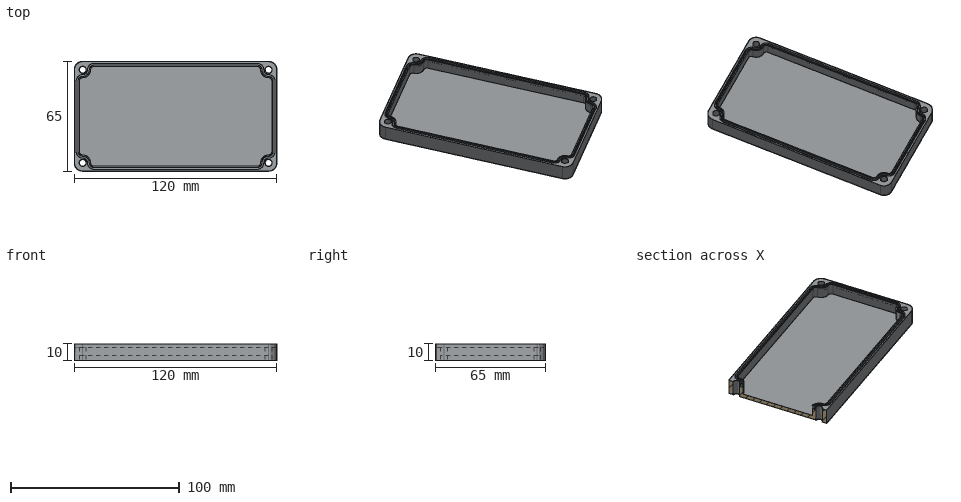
import cadquery as cq
import math

LENGTH = 120.0
WIDTH = 65.0
HEIGHT = 10.0
FLOOR_THICKNESS = 3.0

HOLE_SPACING_X = 110.0
CORNER_RADIUS = (LENGTH - HOLE_SPACING_X) / 2
HOLE_SPACING_Y = WIDTH - 2 * CORNER_RADIUS
HOLE_DIAMETER = 4.0

WALL_THICKNESS = 3.0
BULGE_RADIUS = 4.7
BLEND_RADIUS = 2.0

GROOVE_INSET = 1.14
GROOVE_WIDTH = 1.1
GROOVE_DEPTH = 2.0

CENTER_DISTANCE = BULGE_RADIUS + BLEND_RADIUS
BLEND_CENTER_INWARD = WALL_THICKNESS + BLEND_RADIUS - CORNER_RADIUS
BLEND_CENTER_ALONG = math.sqrt(CENTER_DISTANCE**2 - BLEND_CENTER_INWARD**2)
TANGENT_ANGLE = math.atan2(BLEND_CENTER_INWARD, BLEND_CENTER_ALONG)


def inner_prism(inset, bottom):
    """Solid from bottom up to the rim, with its outline set in from the outer sides."""
    prism = (
        cq.Workplane("XY")
        .workplane(offset=bottom)
        .rect(LENGTH - 2 * inset, WIDTH - 2 * inset)
        .extrude(HEIGHT - bottom)
    )
    for x_side in (-1, 1):
        for y_side in (-1, 1):
            prism = prism.cut(corner_block(x_side, y_side, inset, bottom))
    return prism


def corner_block(x_side, y_side, inset, bottom):
    """Material left standing round one screw hole: the bulge and its two blends."""
    blend = WALL_THICKNESS + BLEND_RADIUS - inset
    bulge = CENTER_DISTANCE - blend
    side = CORNER_RADIUS - inset

    def point(inward_x, inward_y):
        x = x_side * (HOLE_SPACING_X / 2 - inward_x)
        y = y_side * (HOLE_SPACING_Y / 2 - inward_y)
        return (x, y)

    def on_bulge(angle):
        return (bulge * math.cos(angle), bulge * math.sin(angle))

    mid_angle = (TANGENT_ANGLE + math.pi / 2) / 2
    blend_middle = (
        BLEND_CENTER_ALONG - blend * math.cos(mid_angle),
        BLEND_CENTER_INWARD - blend * math.sin(mid_angle),
    )
    start = (BLEND_CENTER_ALONG, -side)
    bulge_start = on_bulge(TANGENT_ANGLE)
    return (
        cq.Workplane("XY")
        .workplane(offset=bottom)
        .moveTo(*point(*start))
        .threePointArc(point(*blend_middle), point(*bulge_start))
        .threePointArc(point(*on_bulge(math.pi / 4)), point(*reversed(bulge_start)))
        .threePointArc(point(*reversed(blend_middle)), point(*reversed(start)))
        .lineTo(*point(-side, -side))
        .close()
        .extrude(HEIGHT - bottom)
    )


def screw_holes():
    return (
        cq.Workplane("XY")
        .rect(HOLE_SPACING_X, HOLE_SPACING_Y, forConstruction=True)
        .vertices()
        .circle(HOLE_DIAMETER / 2)
        .extrude(HEIGHT)
    )


body = (
    cq.Workplane("XY")
    .rect(LENGTH, WIDTH)
    .extrude(HEIGHT)
    .edges("|Z")
    .fillet(CORNER_RADIUS)
)
cavity = inner_prism(WALL_THICKNESS, FLOOR_THICKNESS)
groove_bottom = HEIGHT - GROOVE_DEPTH
groove = inner_prism(GROOVE_INSET, groove_bottom).cut(
    inner_prism(GROOVE_INSET + GROOVE_WIDTH, groove_bottom)
)

result = body.cut(cavity).cut(groove).cut(screw_holes())